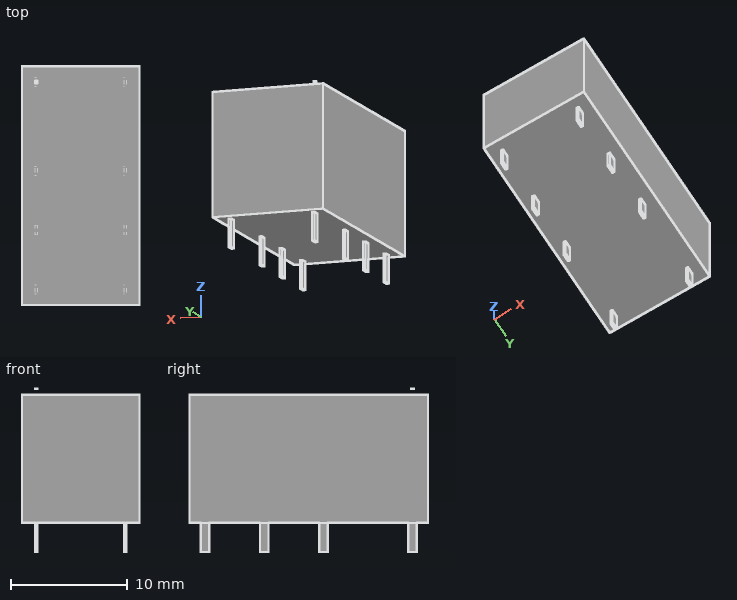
import cadquery as cq

HOUSING_WIDTH = 10.1
HOUSING_LENGTH = 20.5
HOUSING_HEIGHT = 11.0

PIN_THICKNESS = 0.2
PIN_WIDTH = 0.75
PIN_LENGTH = 2.5
ROW_SPACING = 7.63
PIN_PITCH = 5.08
FIRST_PIN_GAP = 1.5 * PIN_PITCH
FIRST_PIN_INSET = 1.35

MARKER_DIAMETER = 0.25
MARKER_THICKNESS = 0.05
MARKER_GAP = 0.5

row_positions = [-ROW_SPACING / 2, ROW_SPACING / 2]
first_pin_y = HOUSING_LENGTH / 2 - FIRST_PIN_INSET
second_pin_y = first_pin_y - FIRST_PIN_GAP
pin_positions = [
    first_pin_y,
    second_pin_y,
    second_pin_y - PIN_PITCH,
    second_pin_y - 2 * PIN_PITCH,
]


def make_housing():
    """Plain rectangular block."""
    return cq.Workplane("XY").box(
        HOUSING_WIDTH, HOUSING_LENGTH, HOUSING_HEIGHT, centered=(True, True, False)
    )


def make_pin(x, y):
    """Flat pin hanging from the underside of the housing."""
    return (
        cq.Workplane("XY")
        .center(x, y)
        .rect(PIN_THICKNESS, PIN_WIDTH)
        .extrude(-PIN_LENGTH)
    )


def make_marker():
    """Thin disc in line with the first pin, clear of the housing top."""
    return (
        cq.Workplane("XY")
        .workplane(offset=HOUSING_HEIGHT + MARKER_GAP)
        .center(row_positions[0], first_pin_y)
        .circle(MARKER_DIAMETER / 2)
        .extrude(MARKER_THICKNESS)
    )


housing = make_housing()
marker = make_marker()
pins = [make_pin(x, y) for x in row_positions for y in pin_positions]

result = cq.Compound.makeCompound(
    [housing.val(), marker.val(), *[pin.val() for pin in pins]]
)